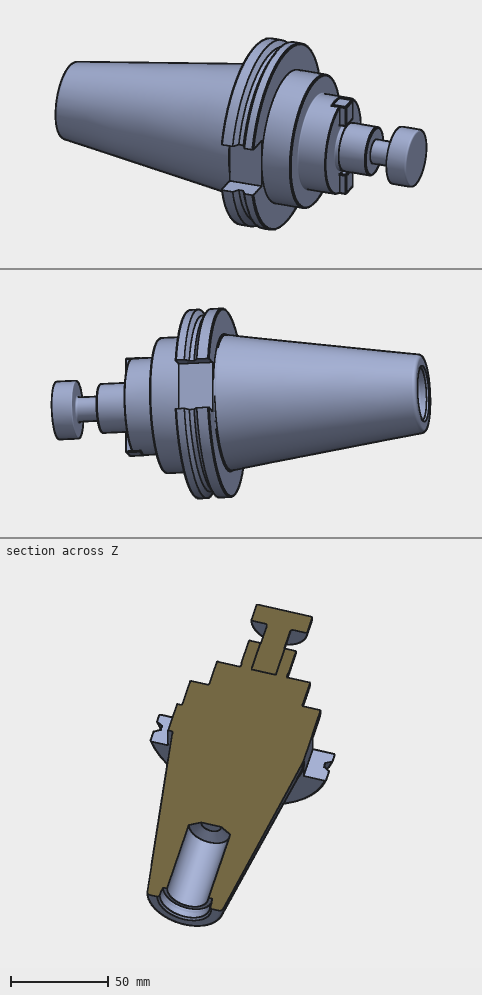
import cadquery as cq
import math


TAPER_END = 101.7
FLANGE_START = 103.0
FLANGE_END = 120.8
SHOULDER_END = 136.8
SPIGOT_END = 152.2
PILOT_END = 169.5
HEAD_START = 181.6
HEAD_END = 192.6

TAPER_LARGE_D = 70.0
TAPER_RATIO = 7 / 24
TAPER_SMALL_D = TAPER_LARGE_D - TAPER_RATIO * TAPER_END
TAPER_END_FILLET = 2.1
FLANGE_D = 97.5
FLANGE_CHAMFER = 0.5
SHOULDER_D = TAPER_LARGE_D
SHOULDER_CHAMFER = 0.5
SPIGOT_D = 50.0
SPIGOT_CHAMFER = 0.4
PILOT_D = 25.5
PILOT_CHAMFER = 0.5
PILOT_RELIEF_D = 24.8
PILOT_RELIEF_WIDTH = 2.3

CORNER_FILLET = 0.5

GROOVE_FLOOR_D = 91.1
GROOVE_MOUTH_START = 109.5
GROOVE_MOUTH_END = 116.0
GROOVE_FLOOR_START = 111.5
GROOVE_FLOOR_END = 114.0

SLOT_WIDTH = 25.8
SLOT_FLOOR_FRONT = 35.0
SLOT_FLOOR_BACK = 37.5

BORE_MOUTH_D = 28.9
BORE_ENTRY_D = 26.8
BORE_ENTRY_DEPTH = 4.2
BORE_THROAT_D = 26.2
BORE_THROAT_START = 5.2
BORE_THROAT_END = 6.4
BORE_D = 22.0
BORE_DEPTH = 48.2
BORE_FLAT_D = 10.5
BORE_TIP_HALF_ANGLE = math.radians(60)

KEY_LENGTH = 8.0
KEY_WIDTH = 10.0
KEY_END = 155.6
KEY_INNER = 13.7
KEY_OUTER = 24.8
KEY_CHAMFER = 0.5
KEY_ANGLES = (0, 180)

SHANK_D = 12.7
SCREW_TIP = SPIGOT_END
SHANK_FILLET = 1.2
HEAD_D = 30.0
HEAD_FRONT_FILLET = 0.5
HEAD_BACK_FILLET = 1.0


def disc(diameter, start, end):
    """Solid cylinder about X between two axial stations."""
    return cq.Workplane("YZ").workplane(offset=start).circle(diameter / 2).extrude(end - start)


def turned(profile):
    """Revolve a closed (x, radius) profile about X."""
    return cq.Workplane("XY").polyline(profile).close().revolve(360, (0, 0, 0), (1, 0, 0))


def corner_fillet(diameter, face, size, toward=1):
    """Ring filling the inside corner between a face at X = face and a cylinder standing on its `toward` side."""
    radius = diameter / 2
    middle = size * (1 - math.sqrt(0.5))
    return (
        cq.Workplane("XY")
        .moveTo(face, 0)
        .lineTo(face, radius + size)
        .threePointArc((face + toward * middle, radius + middle), (face + toward * size, radius))
        .lineTo(face + toward * size, 0)
        .close()
        .revolve(360, (0, 0, 0), (1, 0, 0))
    )


def taper():
    cone = turned([
        (0, 0),
        (0, TAPER_SMALL_D / 2),
        (TAPER_END, TAPER_LARGE_D / 2),
        (FLANGE_START, TAPER_LARGE_D / 2),
        (FLANGE_START, 0),
    ])
    cone = cone.faces("<X").edges().fillet(TAPER_END_FILLET)
    return cone.union(corner_fillet(TAPER_LARGE_D, FLANGE_START, CORNER_FILLET, toward=-1))


def gripper_groove():
    floor_radius = GROOVE_FLOOR_D / 2
    rim_radius = FLANGE_D / 2
    return turned([
        (GROOVE_FLOOR_START, floor_radius),
        (GROOVE_MOUTH_START, rim_radius),
        (GROOVE_MOUTH_END, rim_radius),
        (GROOVE_FLOOR_END, floor_radius),
    ])


def drive_slot(side, floor):
    slot_depth = FLANGE_D / 2 - floor
    return cq.Workplane("XY").box(FLANGE_END - FLANGE_START, slot_depth, SLOT_WIDTH).translate(
        ((FLANGE_START + FLANGE_END) / 2, side * (floor + slot_depth / 2), 0)
    )


def flange():
    ring = disc(FLANGE_D, FLANGE_START, FLANGE_END).edges().chamfer(FLANGE_CHAMFER)
    ring = ring.cut(gripper_groove())
    ring = ring.cut(drive_slot(-1, SLOT_FLOOR_FRONT))
    return ring.cut(drive_slot(1, SLOT_FLOOR_BACK))


def nose():
    shoulder = disc(SHOULDER_D, FLANGE_END, SHOULDER_END).faces(">X").edges().chamfer(SHOULDER_CHAMFER)
    spigot = disc(SPIGOT_D, SHOULDER_END, SPIGOT_END).faces(">X").edges().chamfer(SPIGOT_CHAMFER)
    relief_end = SPIGOT_END + PILOT_RELIEF_WIDTH
    relief = disc(PILOT_RELIEF_D, SPIGOT_END, relief_end)
    pilot = disc(PILOT_D, relief_end, PILOT_END).faces(">X").edges().chamfer(PILOT_CHAMFER)
    spigot = spigot.union(corner_fillet(SPIGOT_D, SHOULDER_END, CORNER_FILLET))
    relief = relief.union(corner_fillet(PILOT_RELIEF_D, SPIGOT_END, CORNER_FILLET))
    return shoulder.union(spigot).union(relief).union(pilot)


def bore():
    mouth_depth = (BORE_MOUTH_D - BORE_ENTRY_D) / 2
    tip_depth = (BORE_D - BORE_FLAT_D) / 2 / math.tan(BORE_TIP_HALF_ANGLE)
    return turned([
        (0, 0),
        (0, BORE_MOUTH_D / 2),
        (mouth_depth, BORE_ENTRY_D / 2),
        (BORE_ENTRY_DEPTH, BORE_ENTRY_D / 2),
        (BORE_THROAT_START, BORE_THROAT_D / 2),
        (BORE_THROAT_END, BORE_THROAT_D / 2),
        (BORE_THROAT_END, BORE_D / 2),
        (BORE_DEPTH, BORE_D / 2),
        (BORE_DEPTH + tip_depth, BORE_FLAT_D / 2),
        (BORE_DEPTH + tip_depth, 0),
    ])


def key_block(outer):
    """Sharp-edged block on the +Z side, from the inner end of the key out to Z = outer."""
    height = outer - KEY_INNER
    return cq.Workplane("XY").box(KEY_LENGTH, KEY_WIDTH, height).translate(
        (KEY_END - KEY_LENGTH / 2, 0, KEY_INNER + height / 2)
    )


def around_axis(part, angle):
    return part.rotate((0, 0, 0), (1, 0, 0), angle)


def key_seat(angle):
    """Slot for one key, open at the rim and the face of the spigot."""
    return around_axis(key_block(SPIGOT_D / 2), angle)


def drive_key(angle):
    return around_axis(key_block(KEY_OUTER).edges().chamfer(KEY_CHAMFER), angle)


def retaining_screw():
    shank = disc(SHANK_D, SCREW_TIP, HEAD_START)
    shank = shank.union(corner_fillet(SHANK_D, HEAD_START, SHANK_FILLET, toward=-1))
    head = disc(HEAD_D, HEAD_START, HEAD_END)
    head = head.faces("<X").edges().fillet(HEAD_FRONT_FILLET)
    head = head.faces(">X").edges().fillet(HEAD_BACK_FILLET)
    return shank.union(head)


def screw_hole():
    return disc(SHANK_D, SCREW_TIP, PILOT_END)


def build_holder():
    body = taper().union(flange()).union(nose()).cut(bore()).cut(screw_hole())
    for angle in KEY_ANGLES:
        body = body.cut(key_seat(angle))
    return body


holder = build_holder()
keys = [drive_key(angle) for angle in KEY_ANGLES]
screw = retaining_screw()

result = cq.Compound.makeCompound([holder.val(), *[key.val() for key in keys], screw.val()])